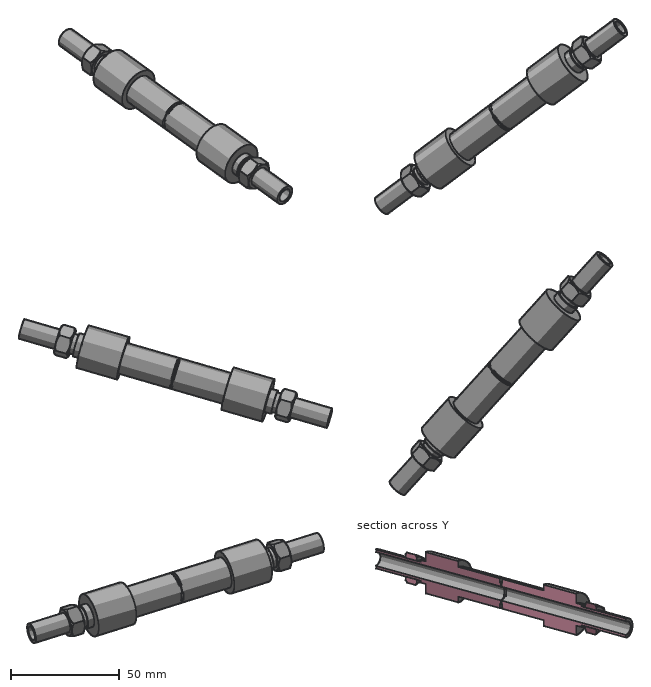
import cadquery as cq
import math

total_length = 147.7
half_length = total_length / 2
gap = 1.2
finger_gap = 0.3
bore_radius = 3.2

collar_inner = 25.1
collar_outer = 44.5
shoulder_outer = 47.5
nut_inner = 49.6
nut_outer = 56.4

sleeve_radius = 7.4
collar_radius = 10.2
shoulder_radius = 5.6
stem_radius = 4.7

nut_across_flats = 13.0
nut_corner_radius = nut_across_flats / math.sqrt(3)
nut_chamfer_length = 0.9
nut_chamfer_depth = 1.2

finger_inner_z = 2.0
finger_outer_z = 5.3


def cylinder_x(radius, start, end):
    """Cylinder on the X axis between two positions."""
    return cq.Workplane("YZ").workplane(offset=start).circle(radius).extrude(end - start)


def make_nut():
    """Hexagonal prism on the stem, its corners bevelled by a cone at both ends."""
    face_radius = nut_corner_radius - nut_chamfer_depth
    prism = (
        cq.Workplane("YZ")
        .workplane(offset=nut_inner)
        .polygon(6, 2 * nut_corner_radius)
        .extrude(nut_outer - nut_inner)
        .rotate((0, 0, 0), (1, 0, 0), 90)
    )
    envelope = (
        cq.Workplane("XY")
        .moveTo(nut_inner, 0)
        .lineTo(nut_inner, face_radius)
        .lineTo(nut_inner + nut_chamfer_length, nut_corner_radius)
        .lineTo(nut_outer - nut_chamfer_length, nut_corner_radius)
        .lineTo(nut_outer, face_radius)
        .lineTo(nut_outer, 0)
        .close()
        .revolve(360, (0, 0, 0), (1, 0, 0))
    )
    return prism.intersect(envelope).cut(cylinder_x(stem_radius, nut_inner, nut_outer))


def make_fingers():
    """Upper and lower fingers, flush with the sleeve, that reach from its end face towards the middle."""
    band = (
        cq.Workplane("XY")
        .workplane(offset=finger_inner_z)
        .rect(gap, 2 * sleeve_radius)
        .extrude(finger_outer_z - finger_inner_z)
    )
    bands = band.union(band.mirror("XY"))
    return bands.intersect(cylinder_x(sleeve_radius, finger_gap / 2, gap / 2))


def make_tube_half():
    """Half on the +X side: fingers, sleeve, collar, shoulder and stem with a through bore."""
    return (
        cylinder_x(sleeve_radius, gap / 2, collar_inner)
        .union(make_fingers())
        .union(cylinder_x(collar_radius, collar_inner, collar_outer))
        .union(cylinder_x(shoulder_radius, collar_outer, shoulder_outer))
        .union(cylinder_x(stem_radius, shoulder_outer, half_length))
        .cut(cylinder_x(bore_radius, 0, half_length))
        .clean()
    )


tube_halves = []
nuts = []
for angle in (0, 180):
    tube_halves.append(make_tube_half().rotate((0, 0, 0), (0, 0, 1), angle).val())
    nuts.append(make_nut().rotate((0, 0, 0), (0, 0, 1), angle).val())

result = cq.Compound.makeCompound([*tube_halves, *nuts])